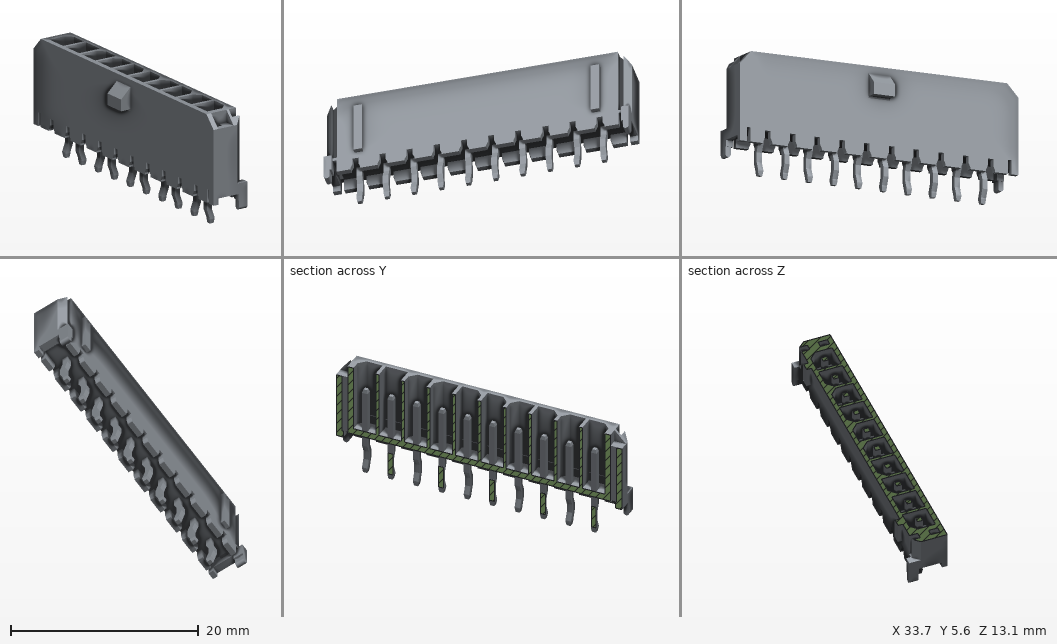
import cadquery as cq


length = 33.65
depth = 3.85
height = 9.93
wall = 0.6
mid_y = depth / 2

shoulder_width = 1.35
shoulder_drop = 1.4
shelf_back_y = 2.6
rear_slot_width = 0.65
rear_slot_depth = 0.95
corner_cut_x = shoulder_width - rear_slot_width
corner_cut_y = 0.8

leg_width = 0.85
slit_width = 0.4
slit_height = 1.55
shaft_width = 0.65
shaft_depth = 1.0

end_channel_height = 0.7
channel_height = 1.4
notch_half_width = 0.55
notch_side_height = 0.2
notch_taper_height = 0.65
notch_slot_half_width = 0.35
notch_height = channel_height

rear_offset = 0.55
rib_center_x = 13.1
rib_width = 0.95
rib_bottom = 2.2
rib_top = 8.2
peg_block_top = 1.92
peg_width = 0.65
peg_tip = -1.1
peg_front_y = 3.3

latch_width = 2.55
latch_reach = 1.2
latch_top = height - 0.85
latch_nose_top = height - 2.02
latch_bottom = height - 3.33
undercut_height = 0.2
undercut_depth = 0.07

pitch = 3.0
cavity_width = 2.6
cavity_depth = 2.7
cavity_floor = 2.2
cavity_chamfer = 0.75
ledge_depth = 0.1
ledge_height = 1.0
keying = (-1, 0, -1, -1, 1, 1, -1, 1, -1, 1)

pin_size = 0.65
pin_top = 7.4
pin_lead_in = 0.4
pin_point_size = 0.4
kink_offset = 0.35
kink_start = 0.27
kink_flat_top = -0.57
kink_flat_bottom = -1.6
kink_end = -2.52
tip_start = -2.65
tip_end = -3.15
tip_size = 0.47

row_x = [(i - (len(keying) - 1) / 2) * pitch for i in range(len(keying))]


def block(x0, x1, y0, y1, z0, z1):
    """Box between two opposite corners."""
    return cq.Workplane("XY").box(x1 - x0, y1 - y0, z1 - z0, centered=False).translate((x0, y0, z0))


def prism_along_y(points, y0, y1):
    """Extrude an XZ outline from y0 to y1."""
    return cq.Workplane("XZ", origin=(0, y0, 0)).polyline(points).close().extrude(y0 - y1)


def prism_along_x(points, width):
    """Extrude a YZ outline to a width centered on X = 0."""
    return cq.Workplane("YZ").polyline(points).close().extrude(width / 2, both=True)


def with_mirror(shape):
    """Join a left-hand shape with its copy at the right-hand end."""
    return shape.union(shape.mirror("YZ"))


def housing_blank():
    half = length / 2
    outline = [
        (-half, 0),
        (half, 0),
        (half, height - shoulder_drop),
        (half - shoulder_width, height),
        (-half + shoulder_width, height),
        (-half, height - shoulder_drop),
    ]
    return prism_along_y(outline, 0, depth)


def end_cuts():
    """Material removed at the left end of the housing."""
    left = -length / 2
    tower = left + shoulder_width
    shelf = height - shoulder_drop
    shelf_cut = block(left, tower, wall, shelf_back_y, shelf, height)
    rear_slot = block(tower - rear_slot_width, tower, depth - rear_slot_depth, depth, peg_block_top, height)
    shaft = block(tower - shaft_width, tower, wall, wall + shaft_depth, slit_height, shelf)
    slit = block(left + leg_width, left + leg_width + slit_width, 0, depth, 0, slit_height)
    corner = (
        cq.Workplane("XY", origin=(0, 0, peg_block_top))
        .polyline([(left, depth), (left + corner_cut_x, depth), (left, depth - corner_cut_y)])
        .close()
        .extrude(height - peg_block_top)
    )
    return shelf_cut.union(rear_slot).union(shaft).union(slit).union(corner)


def locating_peg():
    """Left rear block with a round-ended peg below it."""
    left = -length / 2
    rear = depth + rear_offset
    radius = peg_width / 2
    base = block(left, left + leg_width, peg_front_y, rear, 0, peg_block_top)
    peg = (
        cq.Workplane("XZ", origin=(0, peg_front_y, 0))
        .moveTo(left, 0)
        .lineTo(left, peg_tip + radius)
        .threePointArc((left + radius, peg_tip), (left + peg_width, peg_tip + radius))
        .lineTo(left + peg_width, 0)
        .close()
        .extrude(peg_front_y - rear)
    )
    return base.union(peg)


def rear_rib():
    left = -rib_center_x - rib_width / 2
    return block(left, left + rib_width, depth, depth + rear_offset, rib_bottom, rib_top)


def latch():
    outline = [
        (0, latch_top),
        (-latch_reach, latch_nose_top),
        (-latch_reach, latch_bottom),
        (0, latch_bottom),
    ]
    return prism_along_x(outline, latch_width)


def latch_undercut():
    """Shallow sloped recess in the front face just below the latch."""
    low = latch_bottom - undercut_height
    return prism_along_x([(0, latch_bottom), (undercut_depth, low), (0, low)], latch_width)


def underside_channel():
    """Channel between the front and rear feet, shallower through the end legs."""
    inner_x = length / 2 - leg_width - slit_width
    full = block(-length / 2, length / 2, wall, depth - wall, 0, end_channel_height)
    return full.union(block(-inner_x, inner_x, wall, depth - wall, 0, channel_height))


def cavity(key_side):
    """Contact cavity with a low ledge at the foot of its rear wall."""
    half = cavity_width / 2
    rear = wall + cavity_depth
    shape = block(-half, half, wall, rear, cavity_floor, height)
    if key_side < 0:
        shape = shape.edges("|Z and <X and >Y").chamfer(cavity_chamfer)
    if key_side > 0:
        shape = shape.edges("|Z and >X and >Y").chamfer(cavity_chamfer)
    ledge = block(-half, half, rear - ledge_depth, rear, cavity_floor, cavity_floor + ledge_height)
    return shape.cut(ledge)


def wall_notches():
    """Notches for one pin through the feet of the front and rear walls."""
    right_side = [
        (notch_half_width, 0),
        (notch_half_width, notch_side_height),
        (notch_slot_half_width, notch_taper_height),
        (notch_slot_half_width, notch_height),
    ]
    left_side = [(-x, z) for x, z in reversed(right_side)]
    outline = right_side + left_side
    front = prism_along_y(outline, 0, wall)
    rear = prism_along_y(outline, depth - wall, depth)
    return front.union(rear)


def tapered_end(z, size, end_size, rise):
    """Square point at the end of a pin; a negative rise points down."""
    return (
        cq.Workplane("XY", origin=(0, mid_y, z))
        .rect(size, size)
        .workplane(offset=rise)
        .rect(end_size, end_size)
        .loft(ruled=True)
    )


def pin(side):
    """Square pin whose tail bows to the rear (side 1) or to the front (side -1)."""
    path = [
        (0, pin_top - pin_lead_in),
        (0, kink_start),
        (side * kink_offset, kink_flat_top),
        (side * kink_offset, kink_flat_bottom),
        (0, kink_end),
        (0, tip_start),
    ]
    front = [(mid_y - pin_size / 2 + y, z) for y, z in path]
    rear = [(mid_y + pin_size / 2 + y, z) for y, z in reversed(path)]
    shank = prism_along_x(front + rear, pin_size)
    point = tapered_end(pin_top - pin_lead_in, pin_size, pin_point_size, pin_lead_in)
    tip = tapered_end(tip_start, pin_size, tip_size, tip_end - tip_start)
    return shank.union(point).union(tip)


result = housing_blank().cut(with_mirror(end_cuts()))
result = result.cut(underside_channel())
result = result.union(with_mirror(locating_peg())).union(with_mirror(rear_rib()))
result = result.union(latch()).cut(latch_undercut())

for index, x in enumerate(row_x):
    bow_side = 1 if index % 2 == 0 else -1
    result = result.cut(cavity(keying[index]).translate((x, 0, 0)))
    result = result.cut(wall_notches().translate((x, 0, 0)))
    result = result.union(pin(bow_side).translate((x, 0, 0)))